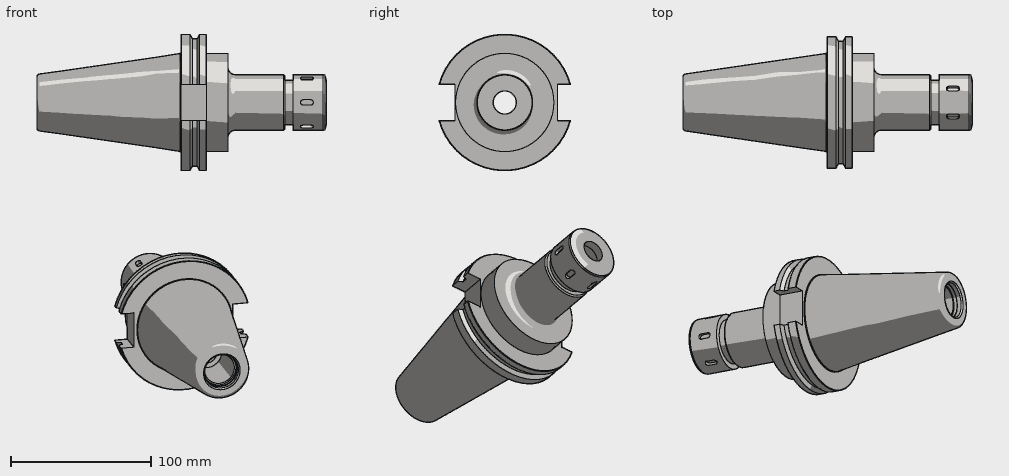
import cadquery as cq
import math


taper_length = 101.5
gauge_diameter = 69.9
taper_rate = 7 / 24
small_end_diameter = gauge_diameter - taper_rate * taper_length
small_end_fillet = 2.5

land_start = 102.1
land_diameter = 70.7

flange_start = 102.8
flange_end = 121.0
flange_diameter = 97.4
flange_chamfer = 0.5
groove_centre = 112.7
groove_depth = 3.0
groove_floor_width = 3.3
groove_flank_angle = 30
groove_top_width = groove_floor_width + 2 * groove_depth * math.tan(math.radians(groove_flank_angle))

drive_slot_width = 25.8
front_slot_floor = 35.5
back_slot_floor = 37.6

hub_diameter = 70.0
hub_end = 136.5
shank_diameter = 40.0
shank_end = 177.0
shank_fillet = 5.0
shank_chamfer = 1.0

neck_diameter = 32.0
neck_end = 200.5

through_diameter = 16.3
bore_diameter = 22.0
counterbore_diameter = 25.0
counterbore_depth = 4.1
recess_diameter = 24.2
recess_depth = 6.6
bore_mouth_chamfer = 1.0
bore_depth = 41.4
bore_cone_length = 1.7

nut_start = 182.8
nut_end = 206.8
nut_diameter = shank_diameter
nut_face_diameter = 30.5
nut_shoulder_diameter = 39.0
nut_shoulder_start = 204.3
nut_shoulder_end = 205.5

wrench_slot_count = 6
wrench_slot_length = 9.0
wrench_slot_width = 4.0
wrench_slot_depth = 2.5
wrench_slot_centre = 192.7


def revolve_about_x(profile):
    """Turn a closed profile, drawn as (position along X, radius), about the X axis."""
    return profile.close().revolve(360, (0, 0, 0), (1, 0, 0))


def holder_blank():
    """Turned outside of the holder, without the groove and the slots."""
    taper_angle = math.atan(taper_rate / 2)
    fillet_turn = math.pi / 2 - taper_angle
    fillet_inset = small_end_fillet * math.tan(fillet_turn / 2)
    small_end_radius = small_end_diameter / 2
    fillet_centre_radius = small_end_radius - fillet_inset
    fillet_middle_angle = taper_angle + fillet_turn / 2
    fillet_middle = (
        small_end_fillet * (1 - math.sin(fillet_middle_angle)),
        fillet_centre_radius + small_end_fillet * math.cos(fillet_middle_angle),
    )
    fillet_end = (
        small_end_fillet * (1 - math.sin(taper_angle)),
        fillet_centre_radius + small_end_fillet * math.cos(taper_angle),
    )
    shank_radius = shank_diameter / 2
    root_offset = shank_fillet * (1 - math.sqrt(0.5))
    profile = (
        cq.Workplane("XY")
        .lineTo(0, fillet_centre_radius)
        .threePointArc(fillet_middle, fillet_end)
        .lineTo(taper_length, gauge_diameter / 2)
        .lineTo(land_start, gauge_diameter / 2)
        .lineTo(land_start, land_diameter / 2)
        .lineTo(flange_start, land_diameter / 2)
        .lineTo(flange_start, flange_diameter / 2 - flange_chamfer)
        .lineTo(flange_start + flange_chamfer, flange_diameter / 2)
        .lineTo(flange_end - flange_chamfer, flange_diameter / 2)
        .lineTo(flange_end, flange_diameter / 2 - flange_chamfer)
        .lineTo(flange_end, hub_diameter / 2)
        .lineTo(hub_end, hub_diameter / 2)
        .lineTo(hub_end, shank_radius + shank_fillet)
        .threePointArc(
            (hub_end + root_offset, shank_radius + root_offset),
            (hub_end + shank_fillet, shank_radius),
        )
        .lineTo(shank_end - shank_chamfer, shank_radius)
        .lineTo(shank_end, shank_radius - shank_chamfer)
        .lineTo(shank_end, neck_diameter / 2)
        .lineTo(neck_end, neck_diameter / 2)
        .lineTo(neck_end, 0)
    )
    return revolve_about_x(profile)


def v_groove():
    """Ring of material removed from the rim of the flange."""
    rim_radius = flange_diameter / 2
    floor_radius = rim_radius - groove_depth
    profile = (
        cq.Workplane("XY")
        .moveTo(groove_centre - groove_top_width / 2, rim_radius)
        .lineTo(groove_centre - groove_floor_width / 2, floor_radius)
        .lineTo(groove_centre + groove_floor_width / 2, floor_radius)
        .lineTo(groove_centre + groove_top_width / 2, rim_radius)
    )
    return revolve_about_x(profile)


def drive_slot(floor_distance, side):
    """Block that cuts a drive slot on one side: -1 for -Y, 1 for +Y."""
    slot_depth = flange_diameter / 2 - floor_distance
    return cq.Workplane("XY").box(
        flange_end - flange_start, slot_depth, drive_slot_width
    ).translate(((flange_start + flange_end) / 2, side * (floor_distance + slot_depth / 2), 0))


def holder_bore():
    """Through hole with a wider stepped mouth at the small end of the taper."""
    counterbore_radius = counterbore_diameter / 2
    profile = (
        cq.Workplane("XY")
        .lineTo(0, counterbore_radius + bore_mouth_chamfer)
        .lineTo(bore_mouth_chamfer, counterbore_radius)
        .lineTo(counterbore_depth, counterbore_radius)
        .lineTo(counterbore_depth, recess_diameter / 2)
        .lineTo(recess_depth, recess_diameter / 2)
        .lineTo(recess_depth, bore_diameter / 2)
        .lineTo(bore_depth, bore_diameter / 2)
        .lineTo(bore_depth + bore_cone_length, through_diameter / 2)
        .lineTo(neck_end, through_diameter / 2)
        .lineTo(neck_end, 0)
    )
    return revolve_about_x(profile)


def make_holder():
    return (
        holder_blank()
        .cut(v_groove())
        .cut(drive_slot(front_slot_floor, -1))
        .cut(drive_slot(back_slot_floor, 1))
        .cut(holder_bore())
    )


def wrench_slot(angle):
    """Obround cutter for one wrench slot, turned about X from the -Y side."""
    floor_distance = nut_diameter / 2 - wrench_slot_depth
    return (
        cq.Workplane("XZ", origin=(wrench_slot_centre, -floor_distance, 0))
        .slot2D(wrench_slot_length, wrench_slot_width)
        .extrude(2 * wrench_slot_depth)
        .rotate((0, 0, 0), (1, 0, 0), angle)
    )


def make_nut():
    """Nut with a socket for the neck, a front opening and a ring of wrench slots."""
    profile = (
        cq.Workplane("XY")
        .moveTo(nut_start, neck_diameter / 2)
        .lineTo(nut_start, nut_diameter / 2)
        .lineTo(nut_shoulder_start, nut_diameter / 2)
        .lineTo(nut_shoulder_end, nut_shoulder_diameter / 2)
        .lineTo(nut_end, nut_face_diameter / 2)
        .lineTo(nut_end, through_diameter / 2)
        .lineTo(neck_end, through_diameter / 2)
        .lineTo(neck_end, neck_diameter / 2)
    )
    nut = revolve_about_x(profile)
    for index in range(wrench_slot_count):
        nut = nut.cut(wrench_slot(index * 360 / wrench_slot_count))
    return nut


holder = make_holder()
nut = make_nut()

result = cq.Compound.makeCompound([holder.val(), nut.val()])